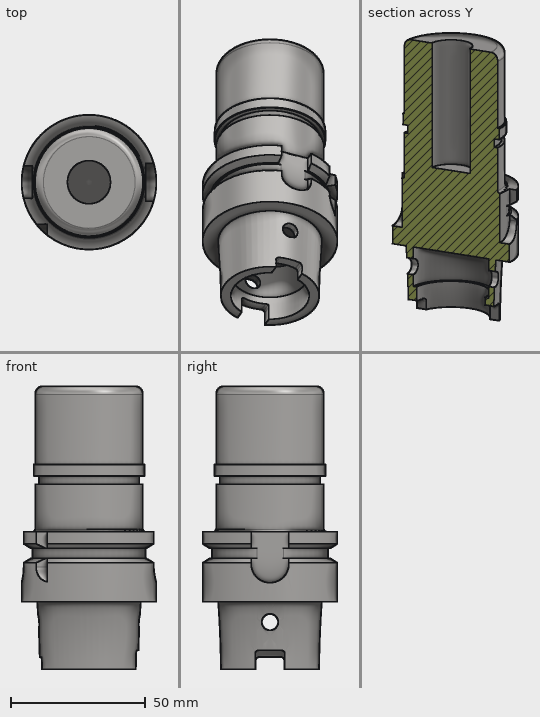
import cadquery as cq
import math


shank_length = 25.0
shank_top_radius = 19.25
shank_middle_radius = 18.55
shank_end_radius = 18.25
cavity_mouth_radius = 14.5
cavity_mouth_length = 10.0
cavity_chamber_radius = 16.0

flange_radius = 25.0
flange_height = 26.0
groove_floor_radius = 21.55
groove_middle = 18.0
groove_floor_width = 3.75
groove_ledge = 0.8
groove_flank_angle = 32.0

head_top = 80.0
head_radius = 20.0
head_edge_fillet = 3.0
neck_fillet = 1.0
bore_radius = 8.0
bore_depth = 48.0

relief_radius = 18.65
relief_bottom = 43.6
collar_radius = 20.6
collar_bottom = 46.6
collar_top = 51.1
collar_chamfer = 0.2

slot_floor_x = 21.0
left_slot_width = 12.0
right_slot_width = 14.0
slot_bottom_height = 7.1

notch_wall = 15.5
notch_radius = 6.0

left_key_width = 10.5
left_key_height = 4.5
right_key_width = 11.0
right_key_height = 7.0
key_fillet = 1.2
cross_hole_radius = 3.0
cross_hole_height = -7.5


def make_body():
    """Revolve the outer profile, from the shank end up to the rounded top."""
    flank_foot_radius = groove_floor_radius + groove_ledge
    flank_height = (flange_radius - flank_foot_radius) * math.tan(math.radians(groove_flank_angle))
    groove_low = groove_middle - groove_floor_width / 2
    groove_high = groove_middle + groove_floor_width / 2
    diagonal = math.sqrt(0.5)
    neck_arc_middle = (
        head_radius + neck_fillet * (1 - diagonal),
        flange_height + neck_fillet * (1 - diagonal),
    )
    edge_arc_middle = (
        head_radius - head_edge_fillet * (1 - diagonal),
        head_top - head_edge_fillet * (1 - diagonal),
    )
    profile = (
        cq.Workplane("XZ")
        .moveTo(0, -shank_length)
        .lineTo(shank_end_radius, -shank_length)
        .threePointArc((shank_middle_radius, -shank_length / 2), (shank_top_radius, 0))
        .lineTo(flange_radius, 0)
        .lineTo(flange_radius, groove_low - flank_height)
        .lineTo(flank_foot_radius, groove_low)
        .lineTo(groove_floor_radius, groove_low)
        .lineTo(groove_floor_radius, groove_high)
        .lineTo(flank_foot_radius, groove_high)
        .lineTo(flange_radius, groove_high + flank_height)
        .lineTo(flange_radius, flange_height)
        .lineTo(head_radius + neck_fillet, flange_height)
        .threePointArc(neck_arc_middle, (head_radius, flange_height + neck_fillet))
        .lineTo(head_radius, relief_bottom)
        .lineTo(relief_radius, relief_bottom)
        .lineTo(relief_radius, collar_bottom)
        .lineTo(collar_radius - collar_chamfer, collar_bottom)
        .lineTo(collar_radius, collar_bottom + collar_chamfer)
        .lineTo(collar_radius, collar_top - collar_chamfer)
        .lineTo(collar_radius - collar_chamfer, collar_top)
        .lineTo(head_radius, collar_top)
        .lineTo(head_radius, head_top - head_edge_fillet)
        .threePointArc(edge_arc_middle, (head_radius - head_edge_fillet, head_top))
        .lineTo(0, head_top)
        .close()
    )
    return profile.revolve(360, (0, 0, 0), (0, 1, 0))


def make_bore():
    """Blind tool bore, open at the top."""
    return cq.Workplane("XY", origin=(0, 0, head_top - bore_depth)).circle(bore_radius).extrude(bore_depth)


def make_shank_cavity():
    """Stepped cavity of the hollow shank: a narrow mouth, then a wider chamber up to Z = 0."""
    mouth = cq.Workplane("XY", origin=(0, 0, -shank_length)).circle(cavity_mouth_radius).extrude(shank_length)
    chamber_length = shank_length - cavity_mouth_length
    chamber = cq.Workplane("XY", origin=(0, 0, -chamber_length)).circle(cavity_chamber_radius)
    return mouth.union(chamber.extrude(chamber_length))


def make_round_slot(start_x, length, middle_y, width):
    """Upright slot with a round bottom, running along X and open at the flange top."""
    radius = width / 2
    slot_axis_height = slot_bottom_height + radius
    return (
        cq.Workplane("YZ", origin=(start_x, middle_y, 0))
        .moveTo(-radius, flange_height + neck_fillet)
        .lineTo(-radius, slot_axis_height)
        .threePointArc((0, slot_bottom_height), (radius, slot_axis_height))
        .lineTo(radius, flange_height + neck_fillet)
        .close()
        .extrude(length)
    )


def make_keyway(start_x, width, height):
    """Keyway from one side of the shank to its axis, with rounded upper corners."""
    return (
        cq.Workplane("XY", origin=(start_x, 0, -shank_length))
        .box(flange_radius, width, height, centered=(False, True, False))
        .edges("|X and >Z")
        .fillet(key_fillet)
    )


def make_cross_hole():
    """Round hole through the shank along X."""
    return (
        cq.Workplane("YZ", origin=(-flange_radius, 0, cross_hole_height))
        .circle(cross_hole_radius)
        .extrude(2 * flange_radius)
    )


slot_depth = flange_radius - slot_floor_x
notch_length = flange_radius - notch_wall

result = (
    make_body()
    .cut(make_bore())
    .cut(make_shank_cavity())
    .cut(make_round_slot(-flange_radius, slot_depth, 0, left_slot_width))
    .cut(make_round_slot(slot_floor_x, slot_depth, 0, right_slot_width))
    .cut(make_round_slot(-flange_radius, notch_length, -notch_wall - notch_radius, 2 * notch_radius))
    .cut(make_keyway(-flange_radius, left_key_width, left_key_height))
    .cut(make_keyway(0, right_key_width, right_key_height))
    .cut(make_cross_hole())
)